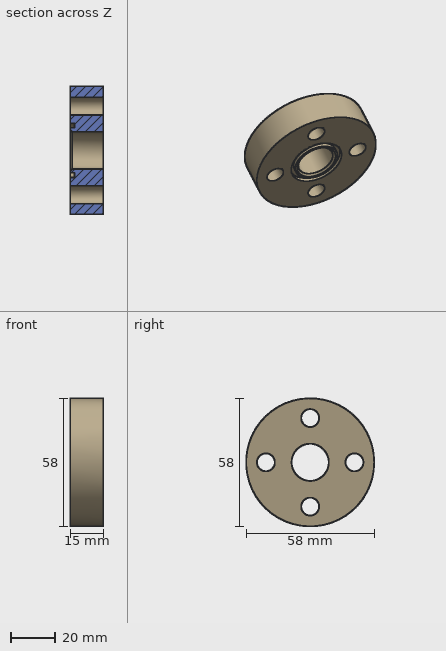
import cadquery as cq

flange_diameter = 58.0
thickness = 15.0

bore_diameter = 16.7
chamfer_size = 1.0

groove_outer_diameter = 24.5
groove_inner_diameter = 20.55
groove_depth = 2.0

bolt_hole_count = 4
bolt_hole_diameter = 8.0
bolt_circle_diameter = 40.0


def make_disc():
    """Plain disc running from the grooved face at X = 0 to X = thickness."""
    return cq.Workplane("YZ").circle(flange_diameter / 2).extrude(thickness)


def make_bore():
    """Through bore, widened by a conical chamfer at the grooved face."""
    bore_radius = bore_diameter / 2
    bore = cq.Workplane("YZ").circle(bore_radius).extrude(thickness)
    cone = cq.Solid.makeCone(
        bore_radius + chamfer_size, bore_radius, chamfer_size, dir=cq.Vector(1, 0, 0)
    )
    return bore.union(cq.Workplane(cone))


def make_groove():
    """Flat-bottomed ring cut into the face at X = 0."""
    return (
        cq.Workplane("YZ")
        .circle(groove_outer_diameter / 2)
        .circle(groove_inner_diameter / 2)
        .extrude(groove_depth)
    )


def make_bolt_holes():
    """Through holes evenly spaced on the bolt circle, the first one on +Y."""
    return (
        cq.Workplane("YZ")
        .polarArray(bolt_circle_diameter / 2, 0, 360, bolt_hole_count)
        .circle(bolt_hole_diameter / 2)
        .extrude(thickness)
    )


result = make_disc().cut(make_bore()).cut(make_groove()).cut(make_bolt_holes())